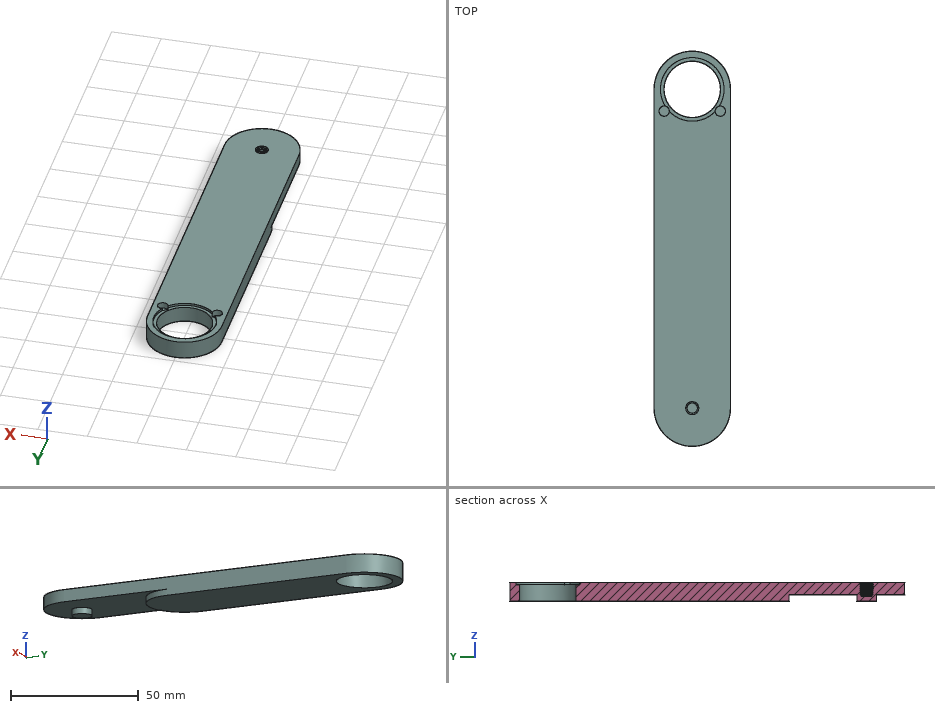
import cadquery as cq

length = 155.0
width = 30.0
end_radius = width / 2
plate_thickness = 5.0
pad_thickness = 2.5
height = plate_thickness + pad_thickness
end_center_y = length / 2 - end_radius

pad_end_y = -32.2

bore_diameter = 22.0
seat_diameter = 25.0
seat_depth = 1.0

pocket_diameter = 4.0
pocket_depth = 2.5
pocket_x = 11.0
pocket_y = end_center_y - 8.5

boss_diameter = 7.9
pivot_diameter = 4.0
thread_diameter = 5.1
thread_pitch = 0.8
thread_groove_flat = 0.1
thread_flank = 0.25
thread_count = 7


def rounded_bar(y_min, y_max, z_min, thickness):
    """Full-width bar along Y with semicircular ends."""
    return (
        cq.Workplane("XY", origin=(0, (y_min + y_max) / 2, z_min))
        .slot2D(y_max - y_min, width, 90)
        .extrude(thickness)
    )


def cylinder_down(x, y, z_top, diameter, depth):
    """Vertical cylinder running down from z_top."""
    return (
        cq.Workplane("XY", origin=(x, y, z_top))
        .circle(diameter / 2)
        .extrude(-depth)
    )


def pivot_cutter():
    """Blind threaded hole, with the thread as a stack of trapezoidal grooves."""
    outline = [(0, 0)]
    for ring in range(thread_count):
        ring_top = -ring * thread_pitch
        groove_bottom = ring_top - thread_groove_flat
        crest_bottom = ring_top - thread_pitch + thread_flank
        crest_top = groove_bottom - thread_flank
        outline.append((thread_diameter / 2, ring_top))
        outline.append((thread_diameter / 2, groove_bottom))
        outline.append((pivot_diameter / 2, crest_top))
        outline.append((pivot_diameter / 2, crest_bottom))
    outline.append((pivot_diameter / 2, -thread_count * thread_pitch))
    outline.append((0, -thread_count * thread_pitch))
    return (
        cq.Workplane("XZ", origin=(0, -end_center_y, height))
        .polyline(outline)
        .close()
        .revolve(360, (0, 0), (0, 1))
    )


plate = rounded_bar(-length / 2, length / 2, pad_thickness, plate_thickness)
pad = rounded_bar(pad_end_y, length / 2, 0, pad_thickness)
boss = cylinder_down(0, -end_center_y, pad_thickness, boss_diameter, pad_thickness)
body = plate.union(pad).union(boss)

body = body.cut(cylinder_down(0, end_center_y, height, bore_diameter, height))
body = body.cut(cylinder_down(0, end_center_y, height, seat_diameter, seat_depth))

for side in (-1, 1):
    body = body.cut(cylinder_down(side * pocket_x, pocket_y, height, pocket_diameter, pocket_depth))

result = body.cut(pivot_cutter())